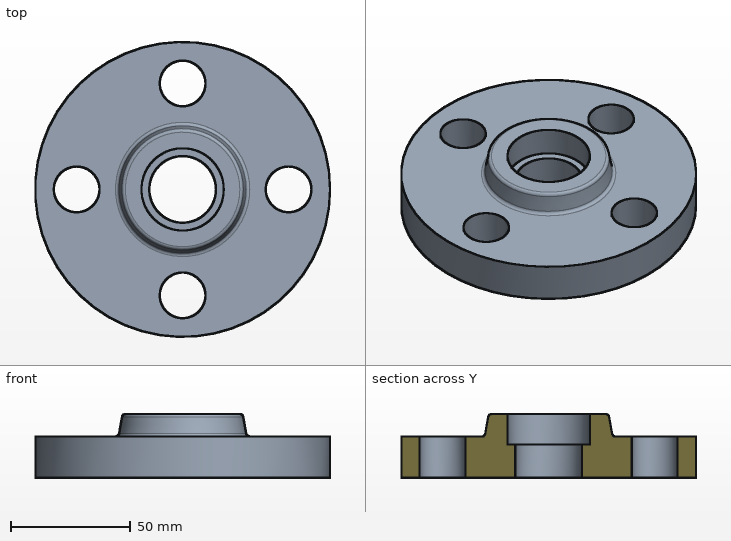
import cadquery as cq
import math

flange_diameter = 123.9
flange_thickness = 17.5

overall_height = 26.9
hub_top_radius = 25.3
hub_taper_angle = 10.0
hub_fillet = 1.5

bore_diameter = 27.9
socket_diameter = 34.6
socket_depth = 12.8

bolt_count = 4
bolt_hole_diameter = 19.1
bolt_circle_radius = 44.5

hub_height = overall_height - flange_thickness
hub_base_radius = hub_top_radius + hub_height * math.tan(math.radians(hub_taper_angle))


def hub_root_edge():
    """Select the circle where the hub meets the disk."""
    reach = hub_base_radius + hub_fillet
    return cq.selectors.BoxSelector(
        (-reach, -reach, flange_thickness - hub_fillet),
        (reach, reach, flange_thickness + hub_fillet),
        boundingbox=True,
    )


def flange_with_hub():
    """Revolve the disk and hub about Z, then round the hub's top and root edges."""
    body = (
        cq.Workplane("XZ")
        .moveTo(0, 0)
        .lineTo(flange_diameter / 2, 0)
        .lineTo(flange_diameter / 2, flange_thickness)
        .lineTo(hub_base_radius, flange_thickness)
        .lineTo(hub_top_radius, overall_height)
        .lineTo(0, overall_height)
        .close()
        .revolve(360, (0, 0, 0), (0, 1, 0))
    )
    body = body.faces(">Z").edges().fillet(hub_fillet)
    return body.edges(hub_root_edge()).fillet(hub_fillet)


def stepped_bore():
    """Through bore joined to the wider socket above it."""
    bore = cq.Workplane("XY").circle(bore_diameter / 2).extrude(overall_height)
    socket = (
        cq.Workplane("XY", origin=(0, 0, overall_height - socket_depth))
        .circle(socket_diameter / 2)
        .extrude(socket_depth)
    )
    return bore.union(socket)


def bolt_holes():
    """Through holes evenly spaced on the bolt circle, the first on +X."""
    return (
        cq.Workplane("XY")
        .polarArray(bolt_circle_radius, 0, 360, bolt_count)
        .circle(bolt_hole_diameter / 2)
        .extrude(flange_thickness)
    )


result = flange_with_hub().cut(stepped_bore()).cut(bolt_holes())